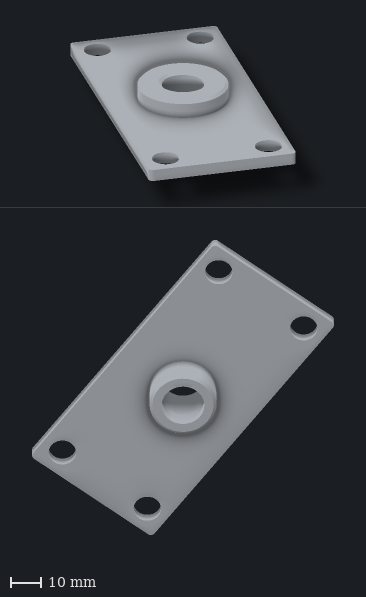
import cadquery as cq

plate_length = 100.0
plate_width = 50.0
plate_thickness = 4.0
corner_radius = 1.5
mount_hole_diameter = 9.0
mount_hole_spacing_x = 85.0
mount_hole_spacing_y = 35.0

flange_diameter = 30.0
flange_height = 6.0
sleeve_diameter = 22.0
sleeve_projection = 10.0
bore_diameter = 14.0
edge_chamfer = 1.0
bore_chamfer = 1.0


def make_plate():
    """Flat plate with rounded corners, four mounting holes and a bushing seat."""
    plate = (
        cq.Workplane("XY")
        .box(plate_length, plate_width, plate_thickness, centered=(True, True, False))
        .edges("|Z")
        .fillet(corner_radius)
    )
    plate = (
        plate.faces(">Z")
        .workplane()
        .rect(mount_hole_spacing_x, mount_hole_spacing_y, forConstruction=True)
        .vertices()
        .hole(mount_hole_diameter)
    )
    return plate.faces(">Z").workplane().hole(sleeve_diameter)


def make_bushing():
    """Bushing whose flange rests on the plate and whose sleeve passes through it."""
    sleeve = (
        cq.Workplane("XY", origin=(0, 0, -sleeve_projection))
        .circle(sleeve_diameter / 2)
        .extrude(sleeve_projection + plate_thickness)
        .faces("<Z")
        .chamfer(edge_chamfer)
    )
    flange = (
        cq.Workplane("XY", origin=(0, 0, plate_thickness))
        .circle(flange_diameter / 2)
        .extrude(flange_height)
        .faces(">Z")
        .chamfer(edge_chamfer)
    )
    bushing = sleeve.union(flange).faces(">Z").workplane().hole(bore_diameter)
    return bushing.faces(">Z").edges(cq.selectors.RadiusNthSelector(0)).chamfer(bore_chamfer)


plate = make_plate()
bushing = make_bushing()

result = cq.Compound.makeCompound([plate.val(), bushing.val()])